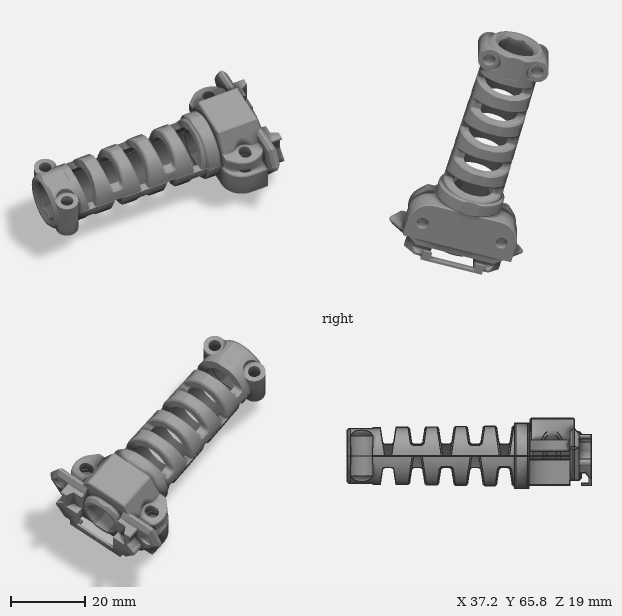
import cadquery as cq
import math

REACH = 39.45
SEAM_GAP = 0.1
HALF_GAP = SEAM_GAP / 2
TOLERANCE = 0.005

END_BLOCK_LENGTH = 7.05
END_BLOCK_RADIUS = 7.8
END_BLOCK_FLAT = 7.4
END_CHAMFER = 0.9
SHELL_FRONT_RADIUS = END_BLOCK_RADIUS
SHELL_REAR_RADIUS = 8.35
SHELL_FLAT_DEPTH = 0.22
COLLAR_FRONT = 45.05
COLLAR_REAR = 49.0
COLLAR_RADIUS = 9.15
COLLAR_FLAT = 8.8
COLLAR_CHAMFER = 0.4
NECK_RADIUS = 6.85
NECK_FLAT = 6.6
NECK_END = 63.05
NECK_CHAMFER = 0.85

BORE_DIAMETER = 9.8
BORE_RADIUS = BORE_DIAMETER / 2
LEAD_IN_RADIUS = 6.2
LEAD_IN_DEPTH = 1.2
CHAMBER_FRONT_RADIUS = 5.45
CHAMBER_REAR_RADIUS = 6.05

SLOT_COUNT = 5
SLOT_PITCH = 7.8
FIRST_SLOT_Y = 11.05
SLOT_SEAM_WIDTH = 1.9
SLOT_FLARE = 0.3
SLOT_FLOOR = 3.15
SLOT_FLOOR_FILLET = 0.8
SLOT_RIM_CHAMFER = 0.4
SLOT_YS = [FIRST_SLOT_Y + index * SLOT_PITCH for index in range(SLOT_COUNT)]
RIM_DEPTH = 0.4

LUG_DIAMETER = 6.1
LUG_RADIUS = LUG_DIAMETER / 2
LUG_HOLE_DIAMETER = 3.4
LUG_X = 6.7
LUG_Y = 3.95
LUG_HEIGHT = 10.7
LUG_HALF_HEIGHT = LUG_HEIGHT / 2

HOUSING_TOP = 10.2
HOUSING_TOP_HALF_WIDTH = 6.1
HOUSING_SIDE_ANGLE = 30.0
HOUSING_FRONT = 49.25
HOUSING_REAR = 61.15
HOUSING_CHAMFER = 0.3
EAR_TOP = 4.35
EAR_BOTTOM = 1.25
EAR_FILLET = 0.5
EAR_RADIUS = 5.8
EAR_HOLE_LENGTH = 4.1
SCREW_X = 11.05
SCREW_Y = 55.1
SCREW_HOLE_DIAMETER = 3.3
SCREW_HEAD_RADIUS = 2.8
SCREW_HEAD_CHAMFER = 0.4
BASE_HALF_WIDTH = 15.1
BASE_CORNER_RADIUS = 6.05
BASE_FRONT = COLLAR_REAR
BASE_TOP = -0.8
BASE_BOTTOM = -7.95
BASE_CHAMFER = 0.25
BASE_RECESS_RADIUS = 2.9
BASE_RECESS_DEPTH = 1.3
WAIST_HALF_WIDTH = 8.55
WAIST_PAD_HALF_WIDTH = 9.35
PAD_ROOT_HALF_LENGTH = 2.35
PAD_TIP_HALF_LENGTH = 1.3

PLATE_FRONT = 59.95
PLATE_BACK = 62.4
PLATE_FRONT_CHAMFER = 0.8
PLATE_BACK_CHAMFER = 1.2
PLATE_TOP = 7.3
PLATE_BOTTOM = -6.6
PLATE_TOP_HALF_WIDTH = 15.8
PLATE_BOTTOM_HALF_WIDTH = 12.35
PLATE_HALF_WIDTH = 18.6
TIP_TOP = 2.55
TIP_BOTTOM = 1.7
POCKET_DIAMETER = 3.6
POCKET_X = 14.5
POCKET_Z = 2.55
POCKET_SKIN = 0.2
BRACKET_BACK = 65.75
NECK_SLOT_HALF_WIDTH = HOUSING_TOP_HALF_WIDTH
STRIP_THICKNESS = 0.65
STRIP_TOP = -5.8
HOOK_BOTTOM = -7.95
HOOK_FRONT = 63.05
HOOK_WEDGE_LENGTH = 0.9
HOOK_HALF_WIDTH = 8.55
BLOCK_BOTTOM = -4.55
BLOCK_TOP = 5.8
BLOCK_BOTTOM_HALF_WIDTH = 10.3
BLOCK_WAIST_HALF_WIDTH = 10.65
BLOCK_WAIST_TOP = 3.75
BLOCK_WAIST_BOTTOM = 1.2
HORN_TOP_HALF_WIDTH = 11.25
HORN_TIP = (11.85, 5.2)
HORN_UNDERSIDE = (11.45, 4.7)
HORN_ROOT = (11.05, 4.55)
FLANK_HOLLOW = (10.85, 0.65)
FLANK_SLOPE_START = (11.3, 0.25)
FLANK_SLOPE_END = (12.5, -0.8)
FLANK_TIP = (13.3, -1.7)
FLANK_UNDERSIDE = (12.75, -2.75)
LEDGE_FLOOR = 0.0
LEDGE_Y = 63.7
LEDGE_FRONT_HALF_WIDTH = 8.8
LEDGE_BACK_HALF_WIDTH = 9.8


def box(x_range, y_range, z_range):
    """Solid box between the given limits."""
    sizes = [high - low for low, high in (x_range, y_range, z_range)]
    corner = (x_range[0], y_range[0], z_range[0])
    return cq.Workplane("XY").box(*sizes, centered=False).translate(corner)


def upright_cylinder(x, y, radius, z_low, z_high):
    """Cylinder along Z."""
    return (
        cq.Workplane("XY")
        .workplane(offset=z_low)
        .center(x, y)
        .circle(radius)
        .extrude(z_high - z_low)
    )


def prism_along_y(outline, y_low, y_high):
    """Closed XZ outline extruded between two Y positions."""
    return (
        cq.Workplane("XZ")
        .workplane(offset=-y_low)
        .polyline(outline)
        .close()
        .extrude(y_low - y_high)
    )


def mirrored_outline(right_side):
    """Closed outline from its right-hand points, listed top to bottom."""
    return right_side + [(-x, z) for x, z in reversed(right_side)]


def turned(profile):
    """Solid of revolution about the Y axis from (radius, y) points."""
    closed_profile = [(0, profile[0][1])] + profile + [(0, profile[-1][1])]
    return (
        cq.Workplane("XY")
        .polyline(closed_profile)
        .close()
        .revolve(360, (0, 0, 0), (0, 1, 0))
    )


def shell_radius(y):
    """Outside radius of the tapered shell."""
    fraction = (y - END_BLOCK_LENGTH) / (COLLAR_FRONT - END_BLOCK_LENGTH)
    return SHELL_FRONT_RADIUS + fraction * (SHELL_REAR_RADIUS - SHELL_FRONT_RADIUS)


def shell_flats():
    """Stepped (y, height) profile of the flats, level on each ring between slots."""
    ring_limits = [END_BLOCK_LENGTH] + SLOT_YS + [COLLAR_FRONT]
    profile = []
    for ring_front, ring_rear in zip(ring_limits, ring_limits[1:]):
        height = shell_radius((ring_front + ring_rear) / 2) - SHELL_FLAT_DEPTH
        profile += [(ring_front, height), (ring_rear, height)]
    return profile


def tube_envelope():
    """Round outside of the tube, trimmed by flats above and below."""
    round_profile = [
        (END_BLOCK_RADIUS - END_CHAMFER, 0),
        (END_BLOCK_RADIUS, END_CHAMFER),
        (SHELL_FRONT_RADIUS, END_BLOCK_LENGTH),
        (SHELL_REAR_RADIUS, COLLAR_FRONT),
        (COLLAR_RADIUS - COLLAR_CHAMFER, COLLAR_FRONT),
        (COLLAR_RADIUS, COLLAR_FRONT + COLLAR_CHAMFER),
        (COLLAR_RADIUS, COLLAR_REAR - COLLAR_CHAMFER),
        (COLLAR_RADIUS - COLLAR_CHAMFER, COLLAR_REAR),
        (NECK_RADIUS, COLLAR_REAR),
        (NECK_RADIUS, NECK_END - NECK_CHAMFER),
        (NECK_RADIUS - NECK_CHAMFER, NECK_END),
    ]
    flat_profile = [
        (0, END_BLOCK_FLAT),
        (END_BLOCK_LENGTH, END_BLOCK_FLAT),
        *shell_flats(),
        (COLLAR_FRONT, COLLAR_FLAT),
        (COLLAR_REAR, COLLAR_FLAT),
        (COLLAR_REAR, NECK_FLAT),
        (NECK_END, NECK_FLAT),
    ]
    outline = flat_profile + [(y, -z) for y, z in reversed(flat_profile)]
    flats = cq.Workplane("YZ").polyline(outline).close().extrude(REACH / 2, both=True)
    return turned(round_profile).intersect(flats)


def tube_bore():
    """Bore with flat and 45 degree roof faces, a lead-in cone and a wider tapered chamber."""
    octagon_corner = BORE_RADIUS * math.tan(math.pi / 8)
    roof_edge = BORE_RADIUS * math.sin(math.pi / 4)
    roof = mirrored_outline([
        (octagon_corner, BORE_RADIUS),
        (roof_edge, roof_edge),
        (roof_edge, -roof_edge),
        (octagon_corner, -BORE_RADIUS),
    ])
    lead_in = turned([(LEAD_IN_RADIUS, 0), (BORE_RADIUS, LEAD_IN_DEPTH)])
    chamber = turned([(CHAMBER_FRONT_RADIUS, END_BLOCK_LENGTH), (CHAMBER_REAR_RADIUS, COLLAR_FRONT)])
    straight_bore = turned([(BORE_RADIUS, 0), (BORE_RADIUS, NECK_END)])
    return straight_bore.union(prism_along_y(roof, 0, NECK_END)).union(lead_in).union(chamber)


def slot_section(y, floor):
    """Flared slot section in the YZ plane, open at the top."""
    half_floor = (SLOT_SEAM_WIDTH + SLOT_FLARE * floor) / 2
    half_top = (SLOT_SEAM_WIDTH + SLOT_FLARE * COLLAR_RADIUS) / 2
    points = [
        (y - half_floor, floor),
        (y + half_floor, floor),
        (y + half_top, COLLAR_RADIUS),
        (y - half_top, COLLAR_RADIUS),
    ]
    return cq.Workplane("YZ").polyline(points).close()


def slot_cutter(y, open_side):
    """Slot that reaches the seam on the open side (+1 or -1 in X) and stops above it on the other."""
    open_half = slot_section(y, 0).extrude(open_side * REACH)
    bridged_half = slot_section(y, SLOT_FLOOR).extrude(-open_side * REACH)
    bridged_half = bridged_half.faces("<Z").edges("|X").fillet(SLOT_FLOOR_FILLET)
    return open_half.union(bridged_half)


def slot_rim_edges(tube, slot_y):
    """Edges where one slot meets the outside of the tube."""
    half_width = (SLOT_SEAM_WIDTH + SLOT_FLARE * COLLAR_RADIUS) / 2

    def on_rim(edge):
        points = [edge.positionAt(t) for t in (0, 0.5, 1)]
        outside = all(math.hypot(p.x, p.z) > shell_radius(p.y) - RIM_DEPTH for p in points)
        near_slot = all(abs(p.y - slot_y) < half_width for p in points)
        return outside and near_slot and points[1].z > HALF_GAP + TOLERANCE

    return [edge for edge in tube.edges().vals() if on_rim(edge)]


def make_tube_half():
    """Upper half of the slotted grip tube with its two screw lugs."""
    above_seam = box((-REACH, REACH), (0, BRACKET_BACK), (0, REACH))
    tube = tube_envelope().cut(tube_bore()).intersect(above_seam)
    tube = tube.cut(box((-REACH, REACH), (END_BLOCK_LENGTH, BRACKET_BACK), (0, HALF_GAP)))

    for index, slot_y in enumerate(SLOT_YS):
        open_side = 1 if index % 2 == 0 else -1
        tube = tube.cut(slot_cutter(slot_y, open_side))
    for slot_y in SLOT_YS[1:]:
        tube = tube.newObject(slot_rim_edges(tube, slot_y)).chamfer(SLOT_RIM_CHAMFER)

    for side in (-1, 1):
        x = side * LUG_X
        tube = tube.cut(upright_cylinder(x, LUG_Y, LUG_RADIUS, LUG_HALF_HEIGHT, REACH))
        lug = upright_cylinder(x, LUG_Y, LUG_RADIUS, 0, LUG_HALF_HEIGHT)
        tube = tube.union(lug.cut(tube_bore()))
        tube = tube.cut(upright_cylinder(x, LUG_Y, LUG_HOLE_DIAMETER / 2, 0, LUG_HALF_HEIGHT))
    return tube


def housing_wall_half_width(z):
    """Half width of the leaning housing walls at a given height."""
    lean = math.tan(math.radians(HOUSING_SIDE_ANGLE))
    return HOUSING_TOP_HALF_WIDTH + (HOUSING_TOP - z) * lean


def waist(z_low, z_high):
    """Core between the ears and the base, with padded sides next to the screws and at the front."""
    right_side = [
        (WAIST_HALF_WIDTH, PLATE_FRONT),
        (WAIST_HALF_WIDTH, SCREW_Y + PAD_ROOT_HALF_LENGTH),
        (WAIST_PAD_HALF_WIDTH, SCREW_Y + PAD_TIP_HALF_LENGTH),
        (WAIST_PAD_HALF_WIDTH, SCREW_Y - PAD_TIP_HALF_LENGTH),
        (WAIST_HALF_WIDTH, SCREW_Y - PAD_ROOT_HALF_LENGTH),
        (WAIST_HALF_WIDTH, HOUSING_FRONT + WAIST_PAD_HALF_WIDTH - WAIST_HALF_WIDTH),
        (WAIST_PAD_HALF_WIDTH, HOUSING_FRONT),
    ]
    return (
        cq.Workplane("XY")
        .workplane(offset=z_low)
        .polyline(mirrored_outline(right_side))
        .close()
        .extrude(z_high - z_low)
    )


def housing_core():
    """Block with leaning side walls and chamfered top and front edges."""
    foot_half_width = housing_wall_half_width(EAR_TOP)
    outline = mirrored_outline([
        (HOUSING_TOP_HALF_WIDTH, HOUSING_TOP),
        (foot_half_width, EAR_TOP),
    ])
    block = prism_along_y(outline, HOUSING_FRONT, HOUSING_REAR)
    block = block.edges(">Z or (<Y and (not <Z))").chamfer(HOUSING_CHAMFER)
    x_range = (-WAIST_HALF_WIDTH, WAIST_HALF_WIDTH)
    return block.union(box(x_range, (HOUSING_FRONT, HOUSING_REAR), (HALF_GAP, EAR_TOP)))


def ears():
    """Pair of rounded screw ears as one bar across the housing."""
    arc_x = BASE_HALF_WIDTH - BASE_CORNER_RADIUS
    arc_reach = EAR_RADIUS * math.sin(math.pi / 4)
    front_run = SCREW_Y - arc_reach - HOUSING_FRONT
    rear_run = PLATE_FRONT - SCREW_Y - arc_reach
    side_x = arc_x + arc_reach
    bar = (
        cq.Workplane("XY")
        .workplane(offset=EAR_BOTTOM)
        .moveTo(front_run - side_x, HOUSING_FRONT)
        .lineTo(side_x - front_run, HOUSING_FRONT)
        .lineTo(side_x, SCREW_Y - arc_reach)
        .threePointArc((arc_x + EAR_RADIUS, SCREW_Y), (side_x, SCREW_Y + arc_reach))
        .lineTo(side_x - rear_run, PLATE_FRONT)
        .lineTo(rear_run - side_x, PLATE_FRONT)
        .lineTo(-side_x, SCREW_Y + arc_reach)
        .threePointArc((-arc_x - EAR_RADIUS, SCREW_Y), (-side_x, SCREW_Y - arc_reach))
        .close()
        .extrude(EAR_TOP - EAR_BOTTOM)
    )
    return bar.faces("<Z or >Z").edges("not(<Y or >Y)").fillet(EAR_FILLET)


def head_clearance_rim(housing, x):
    """Curved edge where the screw head clearance meets the leaning wall."""
    def on_rim(edge):
        middle = edge.positionAt(0.5)
        from_screw = math.hypot(middle.x - x, middle.y - SCREW_Y)
        return abs(from_screw - SCREW_HEAD_RADIUS) < TOLERANCE and middle.z > EAR_TOP + TOLERANCE

    return [edge for edge in housing.edges().vals() if on_rim(edge)]


def make_upper_housing(envelope):
    """Upper clamp half: leaning block with two screw ears."""
    housing = housing_core()
    for side in (-1, 1):
        x = side * SCREW_X
        housing = housing.cut(upright_cylinder(x, SCREW_Y, SCREW_HEAD_RADIUS, EAR_TOP, REACH))
        rim = head_clearance_rim(housing, x)
        housing = housing.newObject(rim).chamfer(SCREW_HEAD_CHAMFER)
    housing = housing.union(ears()).union(waist(HALF_GAP, EAR_BOTTOM))
    for side in (-1, 1):
        hole = (
            cq.Workplane("XY")
            .workplane(offset=EAR_BOTTOM)
            .center(side * SCREW_X, SCREW_Y)
            .slot2D(EAR_HOLE_LENGTH, SCREW_HOLE_DIAMETER)
            .extrude(EAR_TOP - EAR_BOTTOM)
        )
        housing = housing.cut(hole)
    return housing.cut(envelope)


def make_lower_housing(envelope):
    """Lower clamp half: flat base with rounded front corners and screw holes."""
    base = box((-BASE_HALF_WIDTH, BASE_HALF_WIDTH), (BASE_FRONT, PLATE_FRONT), (BASE_BOTTOM, BASE_TOP))
    base = base.edges("|Z and <Y").fillet(BASE_CORNER_RADIUS)
    base = base.faces("<Z or >Z").edges("not >Y").chamfer(BASE_CHAMFER)
    recess_floor = BASE_TOP - BASE_RECESS_DEPTH
    for side in (-1, 1):
        x = side * SCREW_X
        base = base.cut(upright_cylinder(x, SCREW_Y, BASE_RECESS_RADIUS, recess_floor, BASE_TOP))
    base = base.union(waist(recess_floor, -HALF_GAP))
    for side in (-1, 1):
        x = side * SCREW_X
        base = base.cut(upright_cylinder(x, SCREW_Y, SCREW_HOLE_DIAMETER / 2, BASE_BOTTOM, 0))
    return base.cut(envelope)


def wing_plate():
    """Six-sided wing plate with bevelled front and back edges."""
    outline = mirrored_outline([
        (PLATE_TOP_HALF_WIDTH, PLATE_TOP),
        (PLATE_HALF_WIDTH, TIP_TOP),
        (PLATE_HALF_WIDTH, TIP_BOTTOM),
        (PLATE_BOTTOM_HALF_WIDTH, PLATE_BOTTOM),
    ])
    plate = prism_along_y(outline, PLATE_FRONT, PLATE_BACK)
    plate = plate.faces("<Y").edges("not <Z").chamfer(PLATE_FRONT_CHAMFER)
    plate = plate.faces(">Y").edges("not <Z").chamfer(PLATE_BACK_CHAMFER)
    for side in (-1, 1):
        pocket = (
            cq.Workplane("XZ")
            .workplane(offset=-PLATE_FRONT - POCKET_SKIN)
            .center(side * POCKET_X, POCKET_Z)
            .circle(POCKET_DIAMETER / 2)
            .extrude(-REACH)
        )
        plate = plate.cut(pocket)
    return plate


def bracket_block():
    """Rear block: rounded horns on top of a waisted profile with rounded flanks."""
    half = (
        cq.Workplane("XZ")
        .workplane(offset=-PLATE_BACK)
        .moveTo(0, BLOCK_TOP)
        .lineTo(HORN_TOP_HALF_WIDTH, BLOCK_TOP)
        .threePointArc(HORN_TIP, HORN_UNDERSIDE)
        .lineTo(*HORN_ROOT)
        .lineTo(BLOCK_WAIST_HALF_WIDTH, BLOCK_WAIST_TOP)
        .lineTo(BLOCK_WAIST_HALF_WIDTH, BLOCK_WAIST_BOTTOM)
        .threePointArc(FLANK_HOLLOW, FLANK_SLOPE_START)
        .lineTo(*FLANK_SLOPE_END)
        .threePointArc(FLANK_TIP, FLANK_UNDERSIDE)
        .lineTo(BLOCK_BOTTOM_HALF_WIDTH, STRIP_TOP)
        .lineTo(0, STRIP_TOP)
        .close()
        .extrude(PLATE_BACK - BRACKET_BACK)
    )
    strip_front = BRACKET_BACK - STRIP_THICKNESS
    underside = [
        (PLATE_FRONT, STRIP_TOP),
        (PLATE_FRONT, BLOCK_BOTTOM),
        (strip_front - HOOK_WEDGE_LENGTH, BLOCK_BOTTOM),
        (strip_front, STRIP_TOP),
    ]
    clearance = cq.Workplane("YZ").polyline(underside).close().extrude(REACH, both=True)
    return half.union(half.mirror("YZ")).cut(clearance)


def hook():
    """Strip hanging from the rear block, with a foot that points back under the plate."""
    x_range = (-HOOK_HALF_WIDTH, HOOK_HALF_WIDTH)
    strip = box(x_range, (BRACKET_BACK - STRIP_THICKNESS, BRACKET_BACK), (HOOK_BOTTOM, STRIP_TOP))
    foot = box(x_range, (HOOK_FRONT, BRACKET_BACK), (HOOK_BOTTOM, HOOK_BOTTOM + STRIP_THICKNESS))
    return strip.union(foot)


def central_slot():
    """Opening that clears the tube neck, leaving only the rear strip to bridge it."""
    x_range = (-NECK_SLOT_HALF_WIDTH, NECK_SLOT_HALF_WIDTH)
    above_strip = box(x_range, (HOUSING_REAR, BRACKET_BACK), (STRIP_TOP, PLATE_TOP))
    above_strip = above_strip.cut(box(x_range, (HOUSING_REAR, PLATE_BACK), (STRIP_TOP, 0)))
    behind_plate = box(x_range, (PLATE_BACK, BRACKET_BACK - STRIP_THICKNESS), (-REACH, PLATE_TOP))
    return above_strip.union(behind_plate)


def rear_ledge():
    """Notch across the back of the horns that widens towards the back."""
    return (
        cq.Workplane("XY")
        .workplane(offset=LEDGE_FLOOR)
        .polyline([
            (-LEDGE_FRONT_HALF_WIDTH, LEDGE_Y),
            (LEDGE_FRONT_HALF_WIDTH, LEDGE_Y),
            (LEDGE_BACK_HALF_WIDTH, BRACKET_BACK),
            (-LEDGE_BACK_HALF_WIDTH, BRACKET_BACK),
        ])
        .close()
        .extrude(BLOCK_TOP - LEDGE_FLOOR)
    )


def make_mounting_plate(envelope, upper_housing):
    """Wing plate with its rear bracket, central slot and hooked strip."""
    bracket = bracket_block().cut(rear_ledge()).union(wing_plate()).union(hook())
    return bracket.cut(central_slot()).cut(envelope).cut(upper_housing)


tube_half = make_tube_half()
tube_halves = [tube_half.rotate((0, 0, 0), (0, 1, 0), angle) for angle in (0, 180)]
envelope = tube_envelope()
upper_housing = make_upper_housing(envelope)
lower_housing = make_lower_housing(envelope)
mounting_plate = make_mounting_plate(envelope, upper_housing)

result = cq.Compound.makeCompound([
    *[half.val() for half in tube_halves],
    upper_housing.val(),
    lower_housing.val(),
    mounting_plate.val(),
])